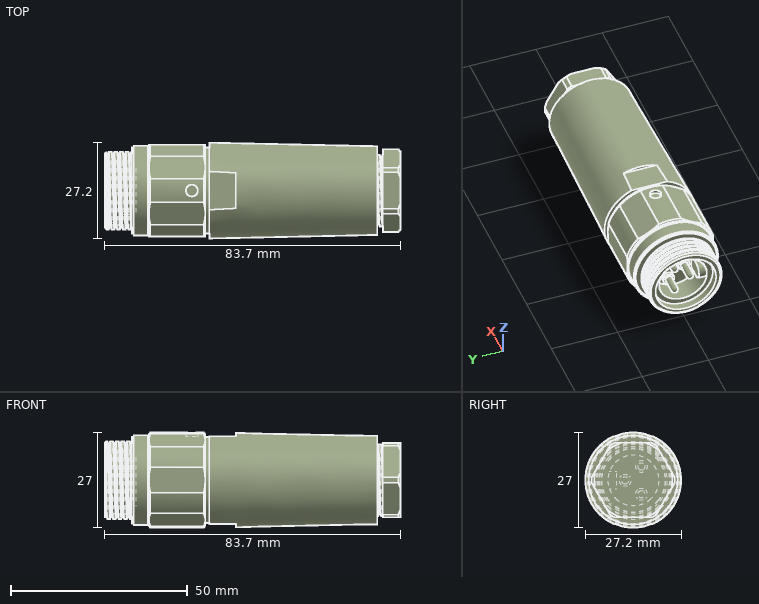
import cadquery as cq
import math

TOTAL_LENGTH = 83.7

MATING_THREAD_END = 7.6
LIP_END = 8.1
COLLAR_END = 12.1
COUPLING_START = 12.5
COUPLING_END = 28.4
BODY_START = 29.55
BODY_END = 77.2
GLAND_NUT_START = 78.7

LIP_DIAMETER = 24.6
COLLAR_DIAMETER = 25.5
NECK_DIAMETER = 24.4

THREAD_PITCH = 1.6
THREAD_GROOVE_MOUTH = 0.8
THREAD_GROOVE_FLOOR = 0.3
MATING_CREST_DIAMETER = 22.1
MATING_ROOT_DIAMETER = 20.75
GLAND_CREST_DIAMETER = 20.4
GLAND_ROOT_DIAMETER = 19.1
THREAD_RELIEF_LENGTH = 0.25
THREAD_OVERLAP = 0.25
THREAD_TRIM_CLEARANCE = 0.4
MATING_LEAD_CHAMFER = 0.5
MATING_THREAD_ANGLE = 115
GLAND_THREAD_ANGLE = 40

COUPLING_DIAMETER = 27.0
COUPLING_ACROSS_FLATS = 26.0
COUPLING_CHAMFER_LENGTH = 0.4
COUPLING_CHAMFER_DEPTH = 0.5
MARK_HOLE_DIAMETER = 3.35
MARK_HOLE_DEPTH = 1.1
MARK_HOLE_X = 24.6

BODY_START_DIAMETER = 27.2
BODY_END_DIAMETER = 25.2
WRENCH_FLATS_ACROSS = 24.95
WRENCH_FLAT_LENGTH = 7.5

GLAND_NUT_DIAMETER = 23.5
GLAND_NUT_ACROSS_FLATS = 21.1
GLAND_NUT_CHAMFER = 0.7

SOCKET_MOUTH_DIAMETER = 18.25
SOCKET_STEP_DIAMETER = 17.9
SOCKET_STEP_DEPTH = 2.3
SOCKET_BORE_DIAMETER = 14.4
SOCKET_DEPTH = 8.7
PIN_DIAMETER = 2.0
PIN_TIP_X = 2.2
PIN_BASE_DIAMETER = 3.35
PIN_BASE_LENGTH = 0.9
SIDE_PIN_Y = 2.3
SIDE_PIN_Z = 3.9
MIDDLE_PIN_Y = -2.35
KEY_WIDTH = 4.9
KEY_TIP_X = 2.35
KEY_INNER_Y = -4.85


def cylinder(x_start, x_end, diameter, y=0.0, z=0.0):
    """Round bar parallel to X."""
    plane = cq.Workplane("YZ", origin=(x_start, y, z))
    return plane.circle(diameter / 2).extrude(x_end - x_start)


def revolve_profile(points):
    """Solid of revolution about X from (x, radius) points."""
    return cq.Workplane("XY").polyline(points).close().revolve(360, (0, 0, 0), (1, 0, 0))


def hexagonal_bar(x_start, x_end, across_flats):
    """Hexagonal bar along X with two of its corners on the Y axis."""
    corner_diameter = across_flats / math.cos(math.pi / 6)
    return cq.Workplane("YZ", origin=(x_start, 0, 0)).polygon(6, corner_diameter).extrude(x_end - x_start)


def threaded_bar(x_start, x_end, crest_diameter, root_diameter, start_angle, lead_chamfer=0.0):
    """Bar with a right-hand helical ridge, trimmed flush with both ends and chamfered at the start."""
    crest_radius = crest_diameter / 2
    root_radius = root_diameter / 2
    crest_half_width = (THREAD_PITCH - THREAD_GROOVE_MOUTH) / 2
    root_half_width = (THREAD_PITCH - THREAD_GROOVE_FLOOR) / 2
    flank_slope = (root_half_width - crest_half_width) / (crest_radius - root_radius)
    buried_half_width = root_half_width + THREAD_OVERLAP * flank_slope
    ridge_length = x_end - x_start + 2 * THREAD_PITCH

    trim_radius = crest_radius + THREAD_TRIM_CLEARANCE
    trim = revolve_profile([
        (x_start, 0),
        (x_start, crest_radius - lead_chamfer),
        (x_start + lead_chamfer + THREAD_TRIM_CLEARANCE, trim_radius),
        (x_end, trim_radius),
        (x_end, 0),
    ])

    helix = cq.Wire.makeHelix(THREAD_PITCH, ridge_length, crest_radius)
    ridge = (
        cq.Workplane("XZ")
        .moveTo(root_radius - THREAD_OVERLAP, -buried_half_width)
        .lineTo(crest_radius, -crest_half_width)
        .lineTo(crest_radius, crest_half_width)
        .lineTo(root_radius - THREAD_OVERLAP, buried_half_width)
        .close()
        .sweep(cq.Workplane(obj=helix), isFrenet=True)
        .rotate((0, 0, 0), (0, 0, 1), start_angle)
        .rotate((0, 0, 0), (0, 1, 0), 90)
        .translate((x_start - THREAD_PITCH, 0, 0))
        .intersect(trim)
    )
    return cylinder(x_start, x_end, root_diameter).union(ridge)


def coupling_nut():
    radius = COUPLING_DIAMETER / 2
    end_radius = radius - COUPLING_CHAMFER_DEPTH
    chamfered_bar = revolve_profile([
        (COUPLING_START, 0),
        (COUPLING_START, end_radius),
        (COUPLING_START + COUPLING_CHAMFER_LENGTH, radius),
        (COUPLING_END - COUPLING_CHAMFER_LENGTH, radius),
        (COUPLING_END, end_radius),
        (COUPLING_END, 0),
    ])
    flats = hexagonal_bar(COUPLING_START, COUPLING_END, COUPLING_ACROSS_FLATS)
    flats = flats.rotate((0, 0, 0), (1, 0, 0), 30)
    mark_hole = (
        cq.Workplane("XY", origin=(MARK_HOLE_X, 0, radius - MARK_HOLE_DEPTH))
        .circle(MARK_HOLE_DIAMETER / 2)
        .extrude(2 * MARK_HOLE_DEPTH)
    )
    return chamfered_bar.intersect(flats).cut(mark_hole)


def tapered_body():
    body = revolve_profile([
        (BODY_START, 0),
        (BODY_START, BODY_START_DIAMETER / 2),
        (BODY_END, BODY_END_DIAMETER / 2),
        (BODY_END, 0),
    ])
    cut_height = BODY_START_DIAMETER
    for side in (1, -1):
        cutter = cq.Workplane("XY").box(WRENCH_FLAT_LENGTH, 2 * BODY_START_DIAMETER, cut_height).translate((
            BODY_START + WRENCH_FLAT_LENGTH / 2,
            0,
            side * (WRENCH_FLATS_ACROSS + cut_height) / 2,
        ))
        body = body.cut(cutter)
    return body


def gland_nut():
    blank = cylinder(GLAND_NUT_START, TOTAL_LENGTH, GLAND_NUT_DIAMETER)
    blank = blank.faces(">X").chamfer(GLAND_NUT_CHAMFER)
    return blank.intersect(hexagonal_bar(GLAND_NUT_START, TOTAL_LENGTH, GLAND_NUT_ACROSS_FLATS))


def socket():
    """Stepped cavity with a slightly tapered mouth."""
    return revolve_profile([
        (0, 0),
        (0, SOCKET_MOUTH_DIAMETER / 2),
        (SOCKET_STEP_DEPTH, SOCKET_STEP_DIAMETER / 2),
        (SOCKET_STEP_DEPTH, SOCKET_BORE_DIAMETER / 2),
        (SOCKET_DEPTH, SOCKET_BORE_DIAMETER / 2),
        (SOCKET_DEPTH, 0),
    ])


def contact_pin(y, z):
    """Round-tipped pin on a wider base, rooted a little below the socket floor."""
    root_x = SOCKET_DEPTH + PIN_BASE_LENGTH
    tip_radius = PIN_DIAMETER / 2
    shank = cylinder(PIN_TIP_X + tip_radius, root_x, PIN_DIAMETER, y, z)
    tip = cq.Workplane("XY").sphere(tip_radius).translate((PIN_TIP_X + tip_radius, y, z))
    base = cylinder(SOCKET_DEPTH - PIN_BASE_LENGTH, root_x, PIN_BASE_DIAMETER, y, z)
    return shank.union(tip).union(base)


def socket_key():
    """Key on the -Y side of the socket wall, with a fully rounded front end."""
    half_width = KEY_WIDTH / 2
    round_start = KEY_TIP_X + half_width
    root_x = SOCKET_DEPTH + half_width
    outer_y = -(SOCKET_BORE_DIAMETER + SOCKET_STEP_DIAMETER) / 4
    return (
        cq.Workplane("XZ", origin=(0, KEY_INNER_Y, 0))
        .moveTo(root_x, -half_width)
        .lineTo(round_start, -half_width)
        .threePointArc((KEY_TIP_X, 0), (round_start, half_width))
        .lineTo(root_x, half_width)
        .close()
        .extrude(KEY_INNER_Y - outer_y)
    )


mating_thread = threaded_bar(
    0,
    MATING_THREAD_END - THREAD_RELIEF_LENGTH,
    MATING_CREST_DIAMETER,
    MATING_ROOT_DIAMETER,
    MATING_THREAD_ANGLE,
    MATING_LEAD_CHAMFER,
)
gland_thread = threaded_bar(
    BODY_END,
    GLAND_NUT_START,
    GLAND_CREST_DIAMETER,
    GLAND_ROOT_DIAMETER,
    GLAND_THREAD_ANGLE,
)
result = (
    cylinder(MATING_THREAD_END - THREAD_RELIEF_LENGTH, MATING_THREAD_END, MATING_ROOT_DIAMETER)
    .union(mating_thread)
    .union(cylinder(MATING_THREAD_END, LIP_END, LIP_DIAMETER))
    .union(cylinder(LIP_END, COLLAR_END, COLLAR_DIAMETER))
    .union(cylinder(COLLAR_END, BODY_START, NECK_DIAMETER))
    .union(coupling_nut())
    .union(tapered_body())
    .union(gland_thread)
    .union(gland_nut())
)

result = result.cut(socket()).union(socket_key())
for pin_y, pin_z in ((SIDE_PIN_Y, SIDE_PIN_Z), (SIDE_PIN_Y, -SIDE_PIN_Z), (MIDDLE_PIN_Y, 0)):
    result = result.union(contact_pin(pin_y, pin_z))